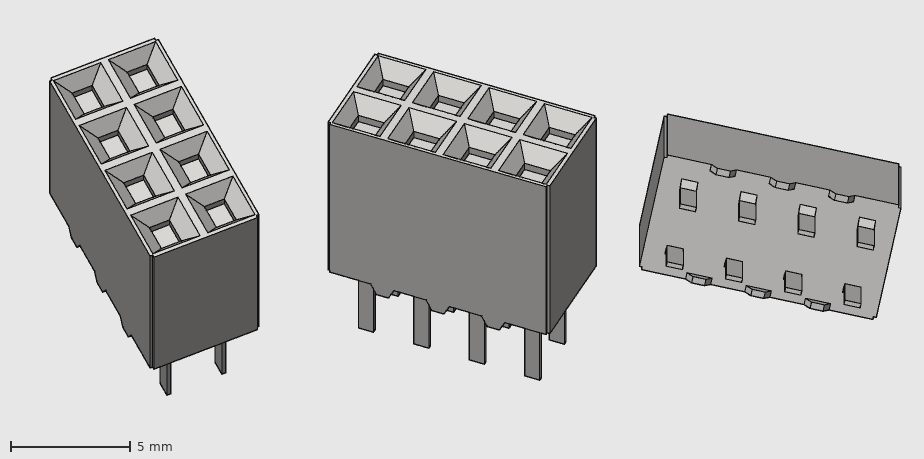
import cadquery as cq

columns = 4
rows = 2
pitch = 2.54

total_height = 11.81
body_length = columns * pitch
body_width = 5.03
body_height = 8.13
corner_notch = 0.12
body_bottom = total_height - body_height

mouth_size = 2.18
well_length = 1.18
well_width = 0.92
mouth_depth = 0.64
well_depth = 0.34

tab_top_length = 1.07
tab_bottom_length = 0.55
tab_height = 0.5
tab_thickness = 0.28

lead_width = 0.7
lead_thickness = 0.19
crank_height = 0.5
inner_crank_height = 0.43
crank_offset = 0.28

column_positions = [(i - (columns - 1) / 2) * pitch for i in range(columns)]
row_positions = [(j - (rows - 1) / 2) * pitch for j in range(rows)]


def make_housing():
    """Plain block with a small square notch down each vertical corner."""
    notch_positions = [(x * body_length / 2, y * body_width / 2) for x in (-1, 1) for y in (-1, 1)]
    block = cq.Workplane("XY", origin=(0, 0, body_bottom)).rect(body_length, body_width).extrude(body_height)
    notches = (
        cq.Workplane("XY", origin=(0, 0, body_bottom))
        .pushPoints(notch_positions)
        .rect(2 * corner_notch, 2 * corner_notch)
        .extrude(body_height)
    )
    return block.cut(notches)


def make_socket(x, y):
    """Void of one socket, opening at the top face."""
    mouth = (
        cq.Workplane("XY", origin=(x, y, total_height))
        .rect(mouth_size, mouth_size)
        .workplane(offset=-mouth_depth)
        .rect(well_length, well_width)
        .loft(ruled=True)
    )
    well = (
        cq.Workplane("XY", origin=(x, y, total_height - mouth_depth))
        .rect(well_length, well_width)
        .extrude(-well_depth)
    )
    return mouth.union(well)


def make_tab(x, side):
    """Trapezoidal tab flush with the long face on the given side (-1 or 1)."""
    profile = [
        (x - tab_top_length / 2, body_bottom),
        (x + tab_top_length / 2, body_bottom),
        (x + tab_bottom_length / 2, body_bottom - tab_height),
        (x - tab_bottom_length / 2, body_bottom - tab_height),
    ]
    face = cq.Workplane("XZ", origin=(0, side * body_width / 2, 0))
    return face.polyline(profile).close().extrude(side * tab_thickness)


def make_lead(x, y):
    """Flat lead that runs straight up, then cranks outward to meet the housing."""
    side = 1 if y > 0 else -1
    inner = y - side * lead_thickness / 2
    outer = y + side * lead_thickness / 2
    profile = [
        (inner, 0),
        (outer, 0),
        (outer, body_bottom - crank_height),
        (outer + side * crank_offset, body_bottom),
        (inner + side * crank_offset, body_bottom),
        (inner, body_bottom - inner_crank_height),
    ]
    start = cq.Workplane("YZ", origin=(x - lead_width / 2, 0, 0))
    return start.polyline(profile).close().extrude(lead_width)


result = make_housing()

for column_x in column_positions:
    for row_y in row_positions:
        result = result.cut(make_socket(column_x, row_y))
        result = result.union(make_lead(column_x, row_y))

for left_column_x in column_positions[:-1]:
    for tab_side in (-1, 1):
        result = result.union(make_tab(left_column_x + pitch / 2, tab_side))